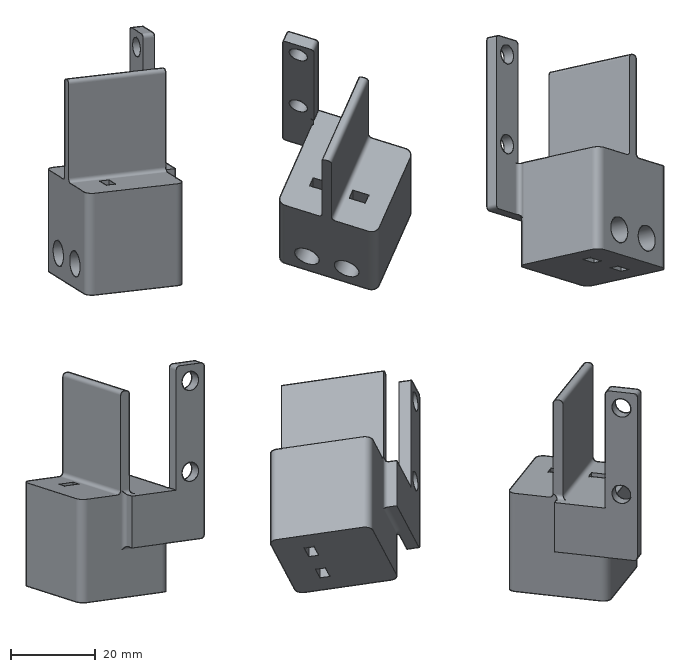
import cadquery as cq
import math

total_width = 33.0
total_height = 55.0

block_size = 25.0
block_corner_radius = 2.0
block_left = total_width - block_size
block_center_x = block_left + block_size / 2

fin_thickness = 2.5
fin_top = 50.0
fin_left = block_center_x - fin_thickness / 2

plate_thickness = 2.95
plate_bottom = 12.5
plate_height = total_height - plate_bottom
tongue_height = block_size - plate_bottom
plate_hole_diameter = 4.6
plate_hole_top_offset = 4.0
plate_hole_spacing = 22.0

edge_radius = 1.0

corner_x = block_left + block_corner_radius
corner_y = block_size - block_corner_radius
web_y = block_size - edge_radius
web_x = corner_x - math.sqrt((block_corner_radius + edge_radius) ** 2 - (web_y - corner_y) ** 2)

bore_offset = 5.0
bore_height = 6.0
bore_diameter = 6.2
bore_depth = 15.0
pilot_diameter = 4.0
pilot_depth = 20.0
slot_width = 4.0
slot_length = 2.4
slot_front = 7.2


def box(x, y, z, width, depth, height):
    """Box placed by its lower, left, front corner."""
    return cq.Workplane("XY").box(width, depth, height, centered=False).translate((x, y, z))


def make_block():
    block = box(block_left, 0, 0, block_size, block_size, block_size)
    return block.edges("|Z").fillet(block_corner_radius)


def make_fin():
    foot = block_size / 2
    fin = box(fin_left, 0, foot, fin_thickness, block_size, fin_top - foot)
    return fin.edges("|Y and >Z").fillet(edge_radius)


def make_plate():
    plate = box(0, block_size, plate_bottom, block_left, plate_thickness, plate_height)
    plate = plate.edges("|Y and >Z").fillet(edge_radius)
    plate = plate.edges("|Y and <X and <Z").fillet(edge_radius)
    tongue_width = block_center_x - block_left
    return plate.union(
        box(block_left, block_size, plate_bottom, tongue_width, plate_thickness, tongue_height)
    )


def make_corner_web(bottom, height):
    """Web that blends the plate's front face into the rounded corner of the block."""
    web = (
        cq.Workplane("XY", origin=(0, 0, bottom))
        .polyline([(web_x, web_y), (corner_x, corner_y), (corner_x, block_size), (web_x, block_size)])
        .close()
        .extrude(height)
    )
    hollow = cq.Workplane("XY", origin=(web_x, web_y, bottom)).circle(edge_radius).extrude(height)
    return web.cut(hollow)


def make_end_web(bottom, height):
    """Web that blends the tongue's end into the back of the block."""
    return (
        cq.Workplane("XY", origin=(block_center_x, block_size, bottom))
        .lineTo(0, edge_radius)
        .radiusArc((edge_radius, 0), -edge_radius)
        .close()
        .extrude(height)
    )


def blend_footprint(bottom):
    """Region behind the block, one blend radius deep, that the tongue and its webs cover."""
    strip = box(0, block_size, bottom, block_center_x, edge_radius, edge_radius)
    strip = strip.union(make_end_web(bottom, edge_radius))
    return strip.union(make_corner_web(bottom, edge_radius))


def blend_profile(plane, origin, outward, upward):
    """Concave triangle with its square corner at the origin; the signs choose its directions."""
    return (
        cq.Workplane(plane, origin=origin)
        .lineTo(outward * edge_radius, 0)
        .radiusArc((0, upward * edge_radius), outward * upward * edge_radius)
        .close()
    )


def make_underside_blend():
    """Blend under the tongue and its corner web, following the outline of the block."""
    start = (corner_x, block_size, plate_bottom)
    straight = blend_profile("YZ", start, 1, -1).extrude(block_center_x + edge_radius - corner_x)
    axis_start = (-block_corner_radius, 0, 0)
    axis_end = (-block_corner_radius, 1, 0)
    around_corner = blend_profile("YZ", start, 1, -1).revolve(90, axis_start, axis_end)
    blend = straight.union(around_corner)
    return blend.intersect(blend_footprint(plate_bottom - edge_radius))


def make_fin_blends():
    """Blends at the foot of the fin on both sides and behind it, mitred at the back left corner."""
    right_foot = (fin_left + fin_thickness, 0, block_size)
    left_foot = (fin_left, 0, block_size)
    back_foot = (fin_left, block_size, block_size)
    right = blend_profile("XZ", right_foot, 1, 1).extrude(-block_size)
    left = blend_profile("XZ", left_foot, -1, 1).extrude(-block_size)
    back = blend_profile("YZ", back_foot, 1, 1).extrude(block_center_x + edge_radius - fin_left)
    back = back.intersect(blend_footprint(block_size))
    left_beyond_back = blend_profile("XZ", left_foot, -1, 1).extrude(-block_size - edge_radius)
    back_beyond_left = blend_profile("YZ", back_foot, 1, 1).extrude(-edge_radius)
    mitre = left_beyond_back.intersect(back_beyond_left)
    return right.union(left).union(back).union(mitre)


def cut_plate_holes(body):
    for row in range(2):
        height = total_height - plate_hole_top_offset - row * plate_hole_spacing
        hole = cq.Workplane("XZ", origin=(block_left / 2, total_width, height))
        body = body.cut(hole.circle(plate_hole_diameter / 2).extrude(total_width))
    return body


def cut_bores_and_slots(body):
    for side in (-1, 1):
        x = block_center_x + side * bore_offset
        for diameter, depth in ((bore_diameter, bore_depth), (pilot_diameter, pilot_depth)):
            bore = cq.Workplane("XZ", origin=(x, 0, bore_height)).circle(diameter / 2).extrude(-depth)
            body = body.cut(bore)
        body = body.cut(box(x - slot_width / 2, slot_front, 0, slot_width, slot_length, block_size))
    return body


body = make_block().union(make_fin()).union(make_plate())
body = body.union(make_corner_web(plate_bottom, tongue_height))
body = body.union(make_end_web(plate_bottom, tongue_height))
body = body.union(make_underside_blend()).union(make_fin_blends())
body = cut_plate_holes(body)
result = cut_bores_and_slots(body)